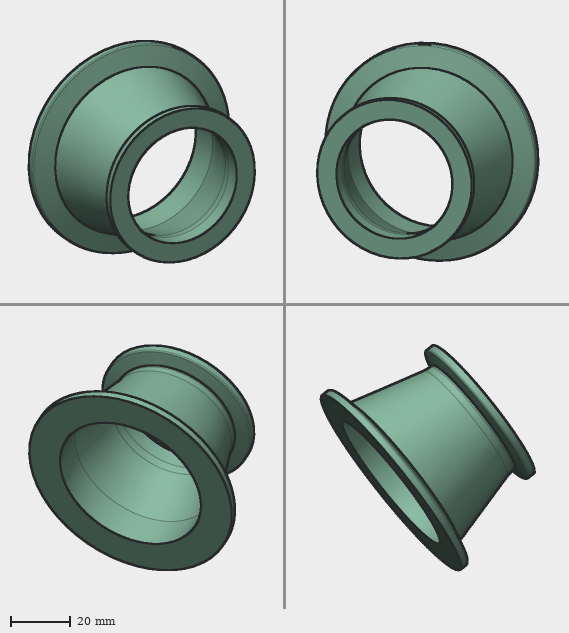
import cadquery as cq
import math

length = 40.0
large_flange_radius = 37.5
small_flange_radius = 27.5
rim_width = 2.9
rim_fillet = 0.5
slope = math.tan(math.radians(15.0))

cone_start_radius = 30.0
neck_radius = 22.35
neck_bend_radius = 10.0

large_bore_radius = 26.1
large_bore_depth = 12.1
small_bore_radius = 20.6
wall = neck_radius - small_bore_radius
bore_bend_radius = neck_bend_radius + wall

cone_start = rim_width + (large_flange_radius - cone_start_radius) * slope
neck_corner = cone_start + (cone_start_radius - neck_radius) / slope
small_rim_corner = length - rim_width
neck_end = small_rim_corner - (small_flange_radius - neck_radius) * slope

bore_corner = large_bore_depth + (large_bore_radius - small_bore_radius) / slope


def revolve_about_x(outline):
    return outline.close().revolve(360, (0, 0, 0), (1, 0, 0))


def circle_edge(x, radius):
    """Selector for the circular edge of given radius at position x."""
    near = 0.01
    return cq.selectors.BoxSelector(
        (x - near, -radius - near, -radius - near),
        (x + near, radius + near, radius + near),
        boundingbox=True,
    )


def make_body():
    body = revolve_about_x(
        cq.Workplane("XZ")
        .lineTo(0, large_flange_radius)
        .lineTo(rim_width, large_flange_radius)
        .lineTo(cone_start, cone_start_radius)
        .lineTo(neck_corner, neck_radius)
        .lineTo(neck_end, neck_radius)
        .lineTo(small_rim_corner, small_flange_radius)
        .lineTo(length, small_flange_radius)
        .lineTo(length, 0)
    )
    body = body.edges(circle_edge(neck_corner, neck_radius)).fillet(neck_bend_radius)
    body = body.edges(circle_edge(rim_width, large_flange_radius)).fillet(rim_fillet)
    return body.edges(circle_edge(small_rim_corner, small_flange_radius)).fillet(rim_fillet)


def make_bore():
    bore = revolve_about_x(
        cq.Workplane("XZ")
        .lineTo(0, large_bore_radius)
        .lineTo(large_bore_depth, large_bore_radius)
        .lineTo(bore_corner, small_bore_radius)
        .lineTo(length, small_bore_radius)
        .lineTo(length, 0)
    )
    return bore.edges(circle_edge(bore_corner, small_bore_radius)).fillet(bore_bend_radius)


result = make_body().cut(make_bore())